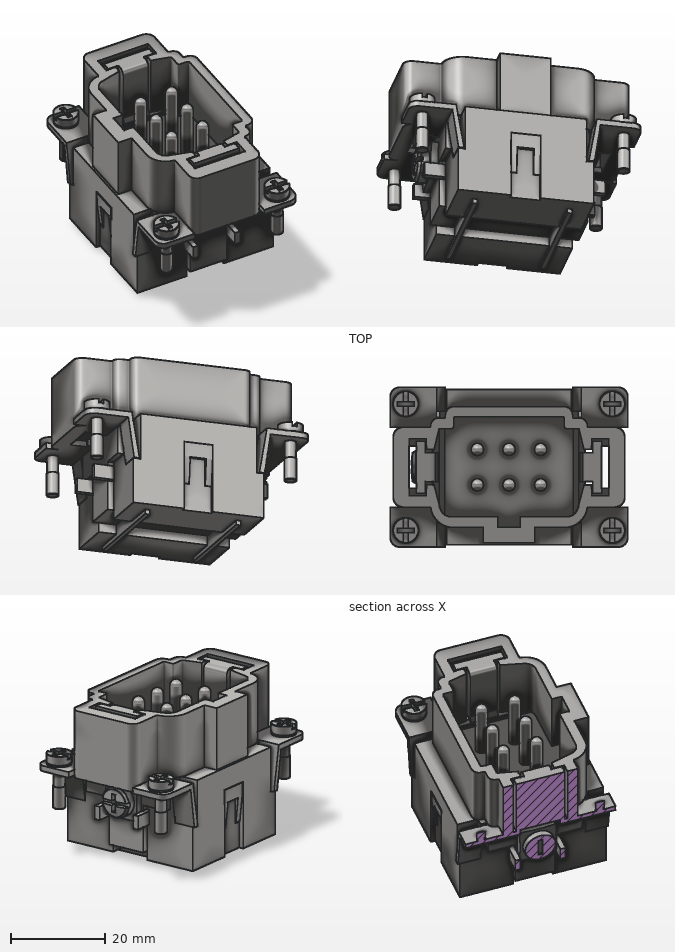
import cadquery as cq

SHELL_TOP = 13.95
FLANGE_THICKNESS = 1.25
FLANGE_BOTTOM = -FLANGE_THICKNESS
LEG_BOTTOM = -10.1
BODY_BOTTOM = -20.05
END_WALL_BOTTOM = -18.0
STRIP_BOTTOM = -21.05

BODY_LENGTH = 29.55
BODY_HALF_X = BODY_LENGTH / 2
BODY_HALF_Y = 16.5
END_WALL_X = 16.15
END_WALL_SHOULDER_Y = 10.6
END_WALL_SHOULDER_BOTTOM = -7.3
END_WALL_STEM_WIDTH = 8.95
END_WALL_STEM_Y = END_WALL_STEM_WIDTH / 2
STRIP_X = 10.3
STRIP_WIDTH = 1.0
STRIP_LENGTH = 26.05
FLOOR_GROOVE_INNER_X = 13.7
FLOOR_GROOVE_DEPTH = 0.75

RECESS_HALF_WIDTH = 3.25
RECESS_TOP = -5.05
RECESS_DEPTH = 1.05
WEDGE_TOP_DEPTH = 0.15
WEDGE_BAND_DEPTH = 0.25
WEDGE_BOTTOM_DEPTH = 0.85
WEDGE_BOTTOM = -14.1
WEDGE_GAP_HALF_WIDTH = 1.8
WEDGE_GAP_TOP = -8.25

SIDE_BLOCK_X = 24.6
SIDE_BLOCK_WIDTH = 16.9
SIDE_BLOCK_Y = SIDE_BLOCK_WIDTH / 2
SIDE_BLOCK_RADIUS = 2.0
SHELL_HALF_X = 16.6
SHELL_FRONT_Y = -12.8
SHELL_FRONT_RADIUS = 4.65
SHELL_STEP_Y = 10.4
SHELL_STEP_RADIUS = 1.55
SHELL_BACK_X = 13.5
SHELL_BACK_Y = 12.85
SHELL_BACK_RADIUS = 1.7
SHELL_JOINT_RADIUS = 0.35
KEY_HALF_WIDTH = 5.5
KEY_Y = -16.0
KEYWAY_HALF_WIDTH = 2.35
CAVITY_FRONT_Y = -10.55
CAVITY_STEP_Y = 8.2
CAVITY_BACK_X = 11.75
CAVITY_BACK_Y = 10.7
CAVITY_CORNER_X = 14.85
CAVITY_SIDE_X = 15.9
CAVITY_FRONT_X = 14.15
CAVITY_FRONT_RADIUS = 2.5
CAVITY_CORNER_RADIUS = 0.4

POCKET_INNER_X = 17.5
POCKET_OUTER_X = 21.2
POCKET_HALF_Y = 6.05
POCKET_SLOT_HALF_Y = 3.8
SPRING_INNER_X = 17.75
SPRING_OUTER_X = 19.65
SPRING_HALF_Y = 5.5
FINGER_HALF_Y = 3.1
FINGER_TOP_X = 16.85
FINGER_FACE_X = 15.6
FINGER_FOOT_X = 15.0
FINGER_FOOT_HEIGHT = 1.25

LUG_TOP = -8.55
LUG_HEIGHT = 3.05
LUG_OUTER_Y = 5.7
LUG_ROOT_RADIUS = LUG_OUTER_Y - END_WALL_STEM_Y

FLANGE_LENGTH = 50.5
FLANGE_WIDTH = 34.0
TAB_OUTER_X = FLANGE_LENGTH / 2
TAB_INNER_X = 15.3
TAB_HALF_Y = FLANGE_WIDTH / 2
TAB_RADIUS = 2.1
LEG_INNER_Y = 11.85
LEG_OUTER_TOP_X = 16.1
LEG_INNER_BOTTOM_X = 13.6
LEG_OUTER_BOTTOM_X = 14.8
LEG_NOTCH_X = 13.2

SCREW_X = 21.9
SCREW_Y = 13.45
HEAD_RADIUS = 2.75
HEAD_HEIGHT = 2.4
HEAD_FOOT_HEIGHT = 0.4
HEAD_CHAMFER = 0.075
THREAD_CHAMFER = 0.15
NECK_DIAMETER = 2.45
NECK_RADIUS = NECK_DIAMETER / 2
NECK_BOTTOM = -5.0
THREAD_DIAMETER = 2.7
THREAD_RADIUS = THREAD_DIAMETER / 2
THREAD_BOTTOM = -9.95
DRIVE_WIDTH = 1.05
DRIVE_CROSS_WIDTH = 0.95
DRIVE_SLOT_DEPTH = 0.9
DRIVE_CROSS_LENGTH = 3.55
DRIVE_CROSS_DEPTH = 1.3

EARTH_Z = -6.55
WASHER_HALF = 4.1
WASHER_CORNER_RADIUS = 0.3
WASHER_CORNER_X = 17.75
WASHER_BULGE = 0.45
EARTH_HEAD_RADIUS = 3.5
EARTH_RIM_X = 19.85
EARTH_FACE_RADIUS = 3.1
EARTH_FACE_X = 20.5
EARTH_TIP_X = 20.75
EARTH_SLOT_FLOOR_X = 19.5
EARTH_CROSS_LENGTH = 4.05
EARTH_CROSS_FLOOR_X = 19.1

PIN_RADIUS = 1.3
PIN_TIP = 12.85
PIN_PITCH_X = 6.7
PIN_ROW_SPACING = 7.5
PIN_Y = PIN_ROW_SPACING / 2

BOTH_SIDES = (1, -1)


def block(x_range, y_range, z_range):
    """Box between two limits, in either order, along each axis."""
    limits = [sorted(r) for r in (x_range, y_range, z_range)]
    size = [high - low for low, high in limits]
    corner = tuple(low for low, high in limits)
    return cq.Workplane("XY").box(*size, centered=False).translate(corner)


def mid_block(half_x, half_y, bottom, top):
    """Box centred on the Z axis."""
    return block((-half_x, half_x), (-half_y, half_y), (bottom, top))


def mirrored_x(shape):
    return shape.union(shape.mirror("YZ"))


def mirrored_y(shape):
    return shape.union(shape.mirror("XZ"))


def make_face_recess():
    """Recess in the front face with two wedges that slope into it."""
    face = -BODY_HALF_Y
    half = RECESS_HALF_WIDTH
    recess = block((-half, half), (face, face + RECESS_DEPTH), (BODY_BOTTOM, RECESS_TOP))
    wedge_points = [
        (face + WEDGE_BAND_DEPTH, WEDGE_GAP_TOP),
        (face + WEDGE_TOP_DEPTH, RECESS_TOP),
        (face + RECESS_DEPTH, RECESS_TOP),
        (face + RECESS_DEPTH, WEDGE_BOTTOM),
        (face + WEDGE_BOTTOM_DEPTH, WEDGE_BOTTOM),
    ]
    wedge = cq.Workplane("YZ").polyline(wedge_points).close().extrude(half, both=True)
    gap_half = WEDGE_GAP_HALF_WIDTH
    gap = block((-gap_half, gap_half), (face, face + RECESS_DEPTH), (WEDGE_BOTTOM, WEDGE_GAP_TOP))
    return recess.cut(wedge.cut(gap))


def make_body():
    body = mid_block(BODY_HALF_X, BODY_HALF_Y, BODY_BOTTOM, 0)
    shoulders = mid_block(END_WALL_X, END_WALL_SHOULDER_Y, END_WALL_SHOULDER_BOTTOM, 0)
    stems = mid_block(END_WALL_X, END_WALL_STEM_Y, END_WALL_BOTTOM, 0)
    body = body.union(shoulders).union(stems)

    channel = mid_block(BODY_HALF_X, END_WALL_STEM_Y, BODY_BOTTOM, END_WALL_BOTTOM)
    body = body.cut(channel).cut(mirrored_y(make_face_recess()))

    for side in BOTH_SIDES:
        for end in BOTH_SIDES:
            leg_notch = block(
                (end * LEG_NOTCH_X, end * BODY_HALF_X),
                (side * LEG_INNER_Y, side * BODY_HALF_Y),
                (LEG_BOTTOM, 0),
            )
            body = body.cut(leg_notch)

    for end in BOTH_SIDES:
        strip = mid_block(STRIP_WIDTH / 2, STRIP_LENGTH / 2, STRIP_BOTTOM, END_WALL_BOTTOM)
        body = body.union(strip.translate((end * STRIP_X, 0, 0)))
    return body


def make_floor_groove():
    """Groove along the +X end of the cavity floor."""
    return block(
        (FLOOR_GROOVE_INNER_X, BODY_HALF_X),
        (CAVITY_FRONT_Y, CAVITY_STEP_Y),
        (-FLOOR_GROOVE_DEPTH, 0),
    )


def make_shell():
    shell = mid_block(SIDE_BLOCK_X, SIDE_BLOCK_Y, FLANGE_BOTTOM, SHELL_TOP)
    shell = shell.edges("|Z").fillet(SIDE_BLOCK_RADIUS)

    middle_y = (SHELL_FRONT_Y, SHELL_STEP_Y)
    middle = block((-SHELL_HALF_X, SHELL_HALF_X), middle_y, (0, SHELL_TOP))
    middle = middle.edges("|Z and <Y").fillet(SHELL_FRONT_RADIUS)
    middle = middle.edges("|Z and >Y").fillet(SHELL_STEP_RADIUS)
    back = block((-SHELL_BACK_X, SHELL_BACK_X), (0, SHELL_BACK_Y), (0, SHELL_TOP))
    back = back.edges("|Z and >Y").fillet(SHELL_BACK_RADIUS)
    shell = shell.union(middle).union(back)
    for end in BOTH_SIDES:
        joints = (
            (end * SHELL_BACK_X, SHELL_STEP_Y),
            (end * SHELL_HALF_X, SIDE_BLOCK_Y),
            (end * SHELL_HALF_X, -SIDE_BLOCK_Y),
        )
        for joint in joints:
            nearest = cq.selectors.NearestToPointSelector((*joint, SHELL_TOP / 2))
            shell = shell.edges("|Z").edges(nearest).fillet(SHELL_JOINT_RADIUS)

    key = block((-KEY_HALF_WIDTH, KEY_HALF_WIDTH), (KEY_Y, 0), (0, SHELL_TOP))
    shell = shell.union(key)

    right_half = [
        (CAVITY_FRONT_X, CAVITY_FRONT_Y),
        (CAVITY_SIDE_X, -POCKET_SLOT_HALF_Y),
        (CAVITY_SIDE_X, POCKET_SLOT_HALF_Y),
        (CAVITY_CORNER_X, CAVITY_STEP_Y),
        (CAVITY_BACK_X, CAVITY_STEP_Y),
        (CAVITY_BACK_X, CAVITY_BACK_Y),
    ]
    left_half = [(-x, y) for x, y in reversed(right_half)]
    cavity = cq.Workplane("XY").polyline(right_half + left_half).close().extrude(SHELL_TOP)
    cavity = cavity.edges("|Z and <Y").fillet(CAVITY_FRONT_RADIUS)
    step_zone = cq.selectors.BoxSelector(
        (-SHELL_HALF_X, POCKET_HALF_Y, 0),
        (SHELL_HALF_X, SHELL_BACK_Y, SHELL_TOP),
    )
    cavity = cavity.edges("|Z").edges(step_zone).fillet(CAVITY_CORNER_RADIUS)
    keyway_y = (SHELL_FRONT_Y, 0)
    keyway = block((-KEYWAY_HALF_WIDTH, KEYWAY_HALF_WIDTH), keyway_y, (0, SHELL_TOP))
    shell = shell.cut(cavity).cut(keyway)

    for end in BOTH_SIDES:
        pocket_x = (end * POCKET_INNER_X, end * POCKET_OUTER_X)
        slot_x = (0, end * POCKET_OUTER_X)
        slot_y = (-POCKET_SLOT_HALF_Y, POCKET_SLOT_HALF_Y)
        through_y = (-END_WALL_STEM_Y, END_WALL_STEM_Y)
        shell = shell.cut(block(pocket_x, (-POCKET_HALF_Y, POCKET_HALF_Y), (0, SHELL_TOP)))
        shell = shell.cut(block(pocket_x, through_y, (FLANGE_BOTTOM, 0)))
        shell = shell.cut(block(slot_x, slot_y, (FLANGE_BOTTOM, SHELL_TOP)))
    return shell


def make_spring():
    """Spring of the +X end: a plate with a finger that rolls over into the cavity."""
    plate_x = (SPRING_INNER_X, SPRING_OUTER_X)
    plate = block(plate_x, (-SPRING_HALF_Y, SPRING_HALF_Y), (0, SHELL_TOP))
    roll_radius = FINGER_TOP_X - FINGER_FACE_X
    finger = (
        cq.Workplane("XZ")
        .moveTo(SPRING_OUTER_X, 0)
        .lineTo(SPRING_OUTER_X, SHELL_TOP)
        .lineTo(FINGER_TOP_X, SHELL_TOP)
        .radiusArc((FINGER_FACE_X, SHELL_TOP - roll_radius), -roll_radius)
        .lineTo(FINGER_FACE_X, FINGER_FOOT_HEIGHT)
        .lineTo(FINGER_FOOT_X, 0)
        .close()
        .extrude(FINGER_HALF_Y, both=True)
    )
    return plate.union(finger)


def make_lug():
    """Lug of the +X end, on the +Y side, rounded off where it meets the body."""
    return (
        cq.Workplane("XY", origin=(0, 0, LUG_TOP))
        .moveTo(BODY_HALF_X, END_WALL_STEM_Y)
        .lineTo(SPRING_OUTER_X, END_WALL_STEM_Y)
        .lineTo(SPRING_OUTER_X, LUG_OUTER_Y)
        .lineTo(BODY_HALF_X + LUG_ROOT_RADIUS, LUG_OUTER_Y)
        .radiusArc((BODY_HALF_X, END_WALL_STEM_Y), -LUG_ROOT_RADIUS)
        .close()
        .extrude(-LUG_HEIGHT)
    )


def make_tab():
    """Flange tab with its slanted leg at the +X, +Y corner."""
    tab_y = (SIDE_BLOCK_Y, TAB_HALF_Y)
    tab = block((TAB_INNER_X, TAB_OUTER_X), tab_y, (FLANGE_BOTTOM, 0))
    tab = tab.edges("|Z and >X and >Y").fillet(TAB_RADIUS)
    leg_points = [
        (TAB_INNER_X, 0),
        (LEG_OUTER_TOP_X, 0),
        (LEG_OUTER_TOP_X, FLANGE_BOTTOM),
        (LEG_OUTER_BOTTOM_X, LEG_BOTTOM),
        (LEG_INNER_BOTTOM_X, LEG_BOTTOM),
    ]
    leg_plane = cq.Workplane("XZ", origin=(0, TAB_HALF_Y, 0))
    leg = leg_plane.polyline(leg_points).close().extrude(TAB_HALF_Y - LEG_INNER_Y)
    return tab.union(leg)


def make_screw():
    """Cross-slotted screw standing on the flange at the origin."""
    foot = cq.Workplane("XY").circle(HEAD_RADIUS - HEAD_CHAMFER).extrude(HEAD_FOOT_HEIGHT)
    head = cq.Workplane("XY", origin=(0, 0, HEAD_FOOT_HEIGHT)).circle(HEAD_RADIUS)
    head = head.extrude(HEAD_HEIGHT - HEAD_FOOT_HEIGHT).faces(">Z").chamfer(HEAD_CHAMFER)
    neck = cq.Workplane("XY").circle(NECK_RADIUS).extrude(NECK_BOTTOM)
    thread = cq.Workplane("XY", origin=(0, 0, NECK_BOTTOM)).circle(THREAD_RADIUS)
    thread = thread.extrude(THREAD_BOTTOM - NECK_BOTTOM).faces("<Z").chamfer(THREAD_CHAMFER)
    slot_floor = HEAD_HEIGHT - DRIVE_SLOT_DEPTH
    cross_floor = HEAD_HEIGHT - DRIVE_CROSS_DEPTH
    slot = mid_block(DRIVE_WIDTH / 2, HEAD_RADIUS, slot_floor, HEAD_HEIGHT)
    cross = mid_block(DRIVE_CROSS_LENGTH / 2, DRIVE_CROSS_WIDTH / 2, cross_floor, HEAD_HEIGHT)
    return foot.union(head).union(neck).union(thread).cut(slot).cut(cross)


def make_earth_screw():
    """Earth screw and curved washer, pointing along -X and centred on z = 0."""
    outer_x = WASHER_CORNER_X + WASHER_BULGE
    thickness = WASHER_CORNER_X - END_WALL_X
    corner_square = 2 * WASHER_HALF**2
    sphere_radius = (corner_square + WASHER_BULGE**2) / (2 * WASHER_BULGE)
    washer_y = (-WASHER_HALF, WASHER_HALF)
    washer = block((-outer_x, -END_WALL_X), washer_y, washer_y).edges("|X").fillet(WASHER_CORNER_RADIUS)
    outer_ball = cq.Workplane("XY").sphere(sphere_radius).translate((sphere_radius - outer_x, 0, 0))
    washer = washer.intersect(outer_ball).cut(outer_ball.translate((thickness, 0, 0)))
    shank = cq.Workplane("YZ", origin=(-outer_x, 0, 0)).circle(NECK_RADIUS)
    shank = shank.extrude(outer_x - BODY_HALF_X)

    dome_height = EARTH_TIP_X - EARTH_FACE_X
    dome_radius = (EARTH_FACE_RADIUS**2 + dome_height**2) / (2 * dome_height)
    head = (
        cq.Workplane("XY")
        .moveTo(-WASHER_CORNER_X, 0)
        .lineTo(-WASHER_CORNER_X, EARTH_HEAD_RADIUS)
        .lineTo(-EARTH_RIM_X, EARTH_HEAD_RADIUS)
        .lineTo(-EARTH_FACE_X, EARTH_FACE_RADIUS)
        .radiusArc((-EARTH_TIP_X, 0), -dome_radius)
        .close()
        .revolve(360, (0, 0, 0), (1, 0, 0))
    )
    half_slot = DRIVE_WIDTH / 2
    slot_y = (-EARTH_HEAD_RADIUS, EARTH_HEAD_RADIUS)
    slot = block((-EARTH_TIP_X, -EARTH_SLOT_FLOOR_X), slot_y, (-half_slot, half_slot))
    cross_z = (-EARTH_CROSS_LENGTH / 2, EARTH_CROSS_LENGTH / 2)
    cross_y = (-DRIVE_CROSS_WIDTH / 2, DRIVE_CROSS_WIDTH / 2)
    cross = block((-EARTH_TIP_X, -EARTH_CROSS_FLOOR_X), cross_y, cross_z)
    return washer.union(shank).union(head.cut(slot).cut(cross))


def make_pin():
    pin = cq.Workplane("XY").circle(PIN_RADIUS).extrude(PIN_TIP - PIN_RADIUS)
    return pin.union(cq.Workplane("XY").sphere(PIN_RADIUS).translate((0, 0, PIN_TIP - PIN_RADIUS)))


result = make_body().union(make_shell())
result = result.cut(mirrored_x(make_floor_groove()))
result = result.union(mirrored_x(make_spring()))
result = result.union(mirrored_x(mirrored_y(make_lug())))
result = result.union(mirrored_x(mirrored_y(make_tab())))
result = result.union(make_earth_screw().translate((0, 0, EARTH_Z)))

for screw_x in (-SCREW_X, SCREW_X):
    for screw_y in (-SCREW_Y, SCREW_Y):
        result = result.union(make_screw().translate((screw_x, screw_y, 0)))

for pin_x in (-PIN_PITCH_X, 0, PIN_PITCH_X):
    for pin_y in (-PIN_Y, PIN_Y):
        result = result.union(make_pin().translate((pin_x, pin_y, 0)))